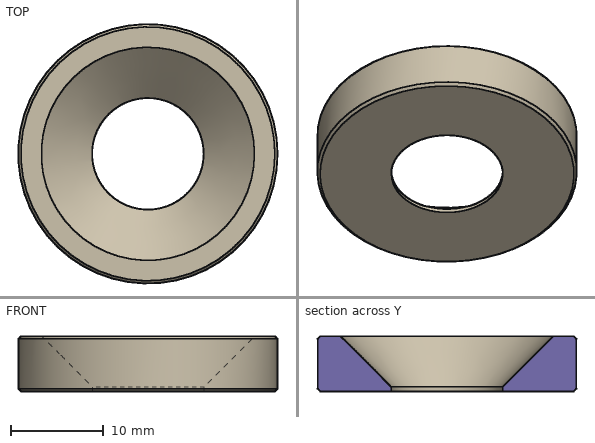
import cadquery as cq

outer_diameter = 28.0
height = 6.0
bore_diameter = 12.0
countersink_diameter = 23.0
edge_chamfer = 0.3

countersink_depth = (countersink_diameter - bore_diameter) / 2
bore_land = height - countersink_depth


def ring_blank():
    """Disc with both outer rims chamfered."""
    disc = cq.Workplane("XY").circle(outer_diameter / 2).extrude(height)
    return disc.faces("<Z or >Z").edges().chamfer(edge_chamfer)


def countersunk_bore():
    """Tool for the through bore and the cone that opens it to the top face."""
    return (
        cq.Workplane("XZ")
        .lineTo(bore_diameter / 2, 0)
        .lineTo(bore_diameter / 2, bore_land)
        .lineTo(countersink_diameter / 2, height)
        .lineTo(0, height)
        .close()
        .revolve(360, (0, 0, 0), (0, 1, 0))
    )


result = ring_blank().cut(countersunk_bore())